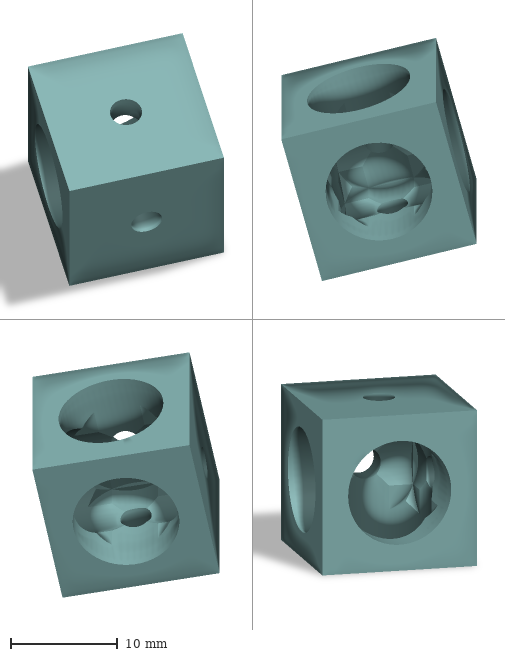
import cadquery as cq

cube_side = 15.0
bore_diameter = 10.0
bore_depth = 12.0
through_diameter = 3.0

half_side = cube_side / 2


def stepped_hole(open_face_direction):
    """Wide blind bore from the open face, continued by a narrow hole to the opposite face."""
    direction = cq.Vector(*open_face_direction)
    face_center = direction * half_side
    inward = direction * -1
    bore = cq.Solid.makeCylinder(bore_diameter / 2, bore_depth, face_center, inward)
    narrow_hole = cq.Solid.makeCylinder(through_diameter / 2, cube_side, face_center, inward)
    return bore, narrow_hole


result = cq.Workplane("XY").box(cube_side, cube_side, cube_side)

for open_face in ((-1, 0, 0), (0, -1, 0), (0, 0, -1)):
    for cutter in stepped_hole(open_face):
        result = result.cut(cq.Workplane(obj=cutter))